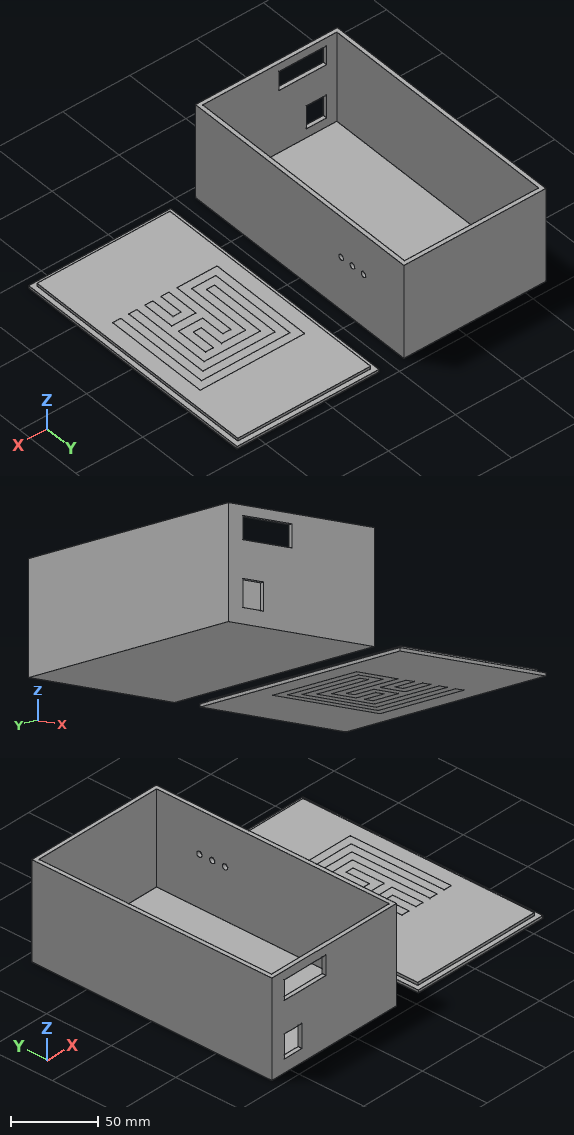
import cadquery as cq

total_width = 231.0
length = 186.0
box_height = 70.0
box_width = 106.3
wall = 3.0
floor = 3.0

window_left = 10.6
display_width = 35.5
display_height = 14.0
display_top_margin = 6.2
socket_width = 15.0
socket_height = 17.0
socket_bottom = 9.7

hole_diameter = 4.0
hole_count = 3
hole_pitch = 10.0
hole_row_y = 140.0
hole_row_z = 39.7

lid_left = total_width - box_width
plate_thickness = 2.0
lip_thickness = 2.0
lip_inset = 3.5
lid_thickness = plate_thickness + lip_thickness

cell = 6.0
grid_side_margin = 13.9
grid_left = lid_left + grid_side_margin
grid_front = 58.0

outer_outline = [
    (0, 0), (5, 0), (5, 8), (6, 8), (6, 5), (9, 5), (9, 9), (8, 9), (8, 6), (7, 6),
    (7, 9), (4, 9), (4, 1), (1, 1), (1, 12), (12, 12), (12, 0), (13, 0), (13, 13), (0, 13),
]
hook_outline = [(2, 2), (3, 2), (3, 10), (10, 10), (10, 0), (11, 0), (11, 11), (2, 11)]
arch_outline = [(6, 0), (7, 0), (7, 3), (8, 3), (8, 0), (9, 0), (9, 4), (6, 4)]


def block(width, depth, height, corner):
    """Box whose lowest x, y and z are at the given corner."""
    return cq.Workplane("XY").box(width, depth, height, centered=False).translate(corner)


def make_wall_holes():
    """Cylinders along X through the +X wall, spaced along Y about the row's middle."""
    row_start = hole_row_y - hole_pitch * (hole_count - 1) / 2
    centers = [(row_start + index * hole_pitch, hole_row_z) for index in range(hole_count)]
    return (
        cq.Workplane("YZ", origin=(box_width - wall, 0, 0))
        .pushPoints(centers)
        .circle(hole_diameter / 2)
        .extrude(wall)
    )


def make_box():
    """Open-topped box with two windows in the front wall and holes in the +X wall."""
    outside = block(box_width, length, box_height, (0, 0, 0))
    cavity = block(box_width - 2 * wall, length - 2 * wall, box_height - floor, (wall, wall, floor))
    display_bottom = box_height - display_top_margin - display_height
    display_window = block(display_width, wall, display_height, (window_left, 0, display_bottom))
    socket_window = block(socket_width, wall, socket_height, (window_left, 0, socket_bottom))
    return outside.cut(cavity).cut(display_window).cut(socket_window).cut(make_wall_holes())


def make_inlay(outline):
    """Inlay filling the lid's full thickness, from its grid outline."""
    corners = [(grid_left + column * cell, grid_front + row * cell) for column, row in outline]
    return cq.Workplane("XY").polyline(corners).close().extrude(lid_thickness)


def make_lid(inlays):
    """Plate with a smaller raised lip, cut through where the inlays sit."""
    plate = block(box_width, length, plate_thickness, (lid_left, 0, 0))
    lip = block(
        box_width - 2 * lip_inset,
        length - 2 * lip_inset,
        lip_thickness,
        (lid_left + lip_inset, lip_inset, plate_thickness),
    )
    lid = plate.union(lip)
    for inlay in inlays:
        lid = lid.cut(inlay)
    return lid


box = make_box()
inlays = [make_inlay(outline) for outline in (outer_outline, hook_outline, arch_outline)]
lid = make_lid(inlays)

result = cq.Compound.makeCompound([box.val(), lid.val(), *[inlay.val() for inlay in inlays]])